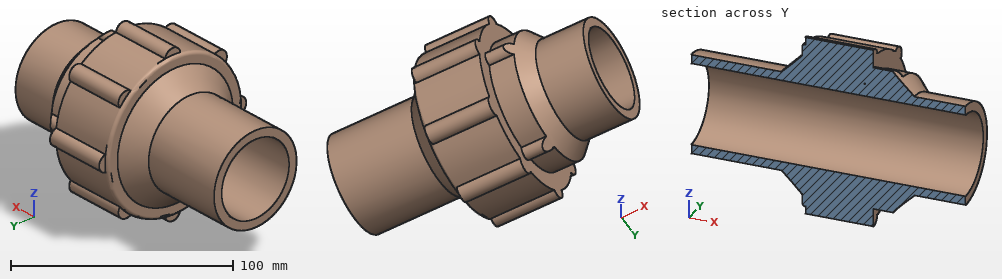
import cadquery as cq

length = 134.0
pipe_radius = 50.0 / 2
bore_radius = 40.7 / 2

front_cone_start = 44.1
nut_front = 54.0
rib_start = 55.7
nut_back = 89.0
rear_cone_end = 109.1

nut_radius = 40.9
nut_rounding = rib_start - nut_front
grip_count = 8
grip_radius = 4.7
grip_outer_radius = 44.5

collar_radius = 32.2
collar_rib_count = 4
collar_rib_radius = 3.6
collar_rib_outer_radius = 35.6


def cylinder(radius, start, end):
    """Solid cylinder on the pipe axis between two X positions."""
    return cq.Workplane("YZ", origin=(start, 0, 0)).circle(radius).extrude(end - start)


def cone_45(wide_x, narrow_x, direction):
    """45 degree cone from the pipe surface at narrow_x up to wide_x."""
    wide_radius = pipe_radius + direction * (wide_x - narrow_x)
    profile = [
        (narrow_x, 0),
        (narrow_x, pipe_radius),
        (wide_x, wide_radius),
        (wide_x, 0),
    ]
    return cq.Workplane("XY").polyline(profile).close().revolve(360, (0, 0), (1, 0))


def ribs(count, radius, outer_radius, start, end):
    """Round bars parallel to X, spaced evenly around the axis."""
    return (
        cq.Workplane("YZ", origin=(start, 0, 0))
        .polarArray(outer_radius - radius, 0, 360, count)
        .circle(radius)
        .extrude(end - start)
    )


nut = cylinder(nut_radius, nut_front, nut_back).faces("<X").edges().fillet(nut_rounding)
nut = nut.union(ribs(grip_count, grip_radius, grip_outer_radius, rib_start, nut_back))

collar = cylinder(collar_radius, nut_back, rear_cone_end)
collar = collar.union(
    ribs(collar_rib_count, collar_rib_radius, collar_rib_outer_radius, nut_back, rear_cone_end)
)
collar = collar.intersect(cone_45(nut_back, rear_cone_end, -1))

result = (
    cylinder(pipe_radius, 0, length)
    .union(cone_45(nut_front, front_cone_start, 1))
    .union(nut)
    .union(collar)
    .cut(cylinder(bore_radius, 0, length))
)